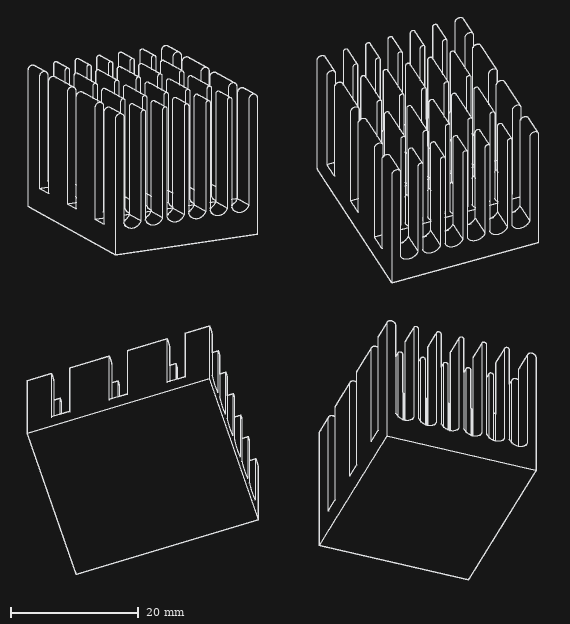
import cadquery as cq

length = 30.0
width = 25.0
height = 23.0

base_height = 4.0

groove_count = 6
groove_width = 3.0
groove_round_depth = 1.0
end_fin_thickness = 1.5
inner_fin_count = groove_count - 1
inner_fin_thickness = (width - 2 * end_fin_thickness - groove_count * groove_width) / inner_fin_count
groove_pitch = groove_width + inner_fin_thickness

slot_count = 3
slot_width = 3.0
slot_pitch = 9.5


def centred_positions(count, pitch):
    """Evenly spaced positions, centred on zero."""
    return [(i - (count - 1) / 2) * pitch for i in range(count)]


def arched_bar(y, thickness, flat_z, shoulder_z, crown_z):
    """Full-length bar along X with one flat end at flat_z and one arched end peaking at crown_z."""
    half = thickness / 2
    return (
        cq.Workplane("YZ", origin=(-length / 2, 0, 0))
        .moveTo(y - half, flat_z)
        .lineTo(y - half, shoulder_z)
        .threePointArc((y, crown_z), (y + half, shoulder_z))
        .lineTo(y + half, flat_z)
        .close()
        .extrude(length)
    )


def fin(y, thickness):
    """Fin standing on the bottom face, with a half-round top edge."""
    return arched_bar(y, thickness, 0, height - thickness / 2, height)


def groove(y):
    """Cutter for one groove, open at the top and shallowly rounded at the bottom."""
    return arched_bar(y, groove_width, height, base_height + groove_round_depth, base_height)


def slot(x):
    """Cutter for one square-bottomed slot, level with the groove bottoms."""
    return (
        cq.Workplane("XY", origin=(x, 0, base_height))
        .box(slot_width, width, height - base_height, centered=(True, True, False))
    )


result = cq.Workplane("XY").box(
    length, width, base_height + groove_round_depth, centered=(True, True, False)
)

end_fin_y = (width - end_fin_thickness) / 2
for y in (-end_fin_y, end_fin_y):
    result = result.union(fin(y, end_fin_thickness))
for y in centred_positions(inner_fin_count, groove_pitch):
    result = result.union(fin(y, inner_fin_thickness))

for y in centred_positions(groove_count, groove_pitch):
    result = result.cut(groove(y))

for x in centred_positions(slot_count, slot_pitch):
    result = result.cut(slot(x))